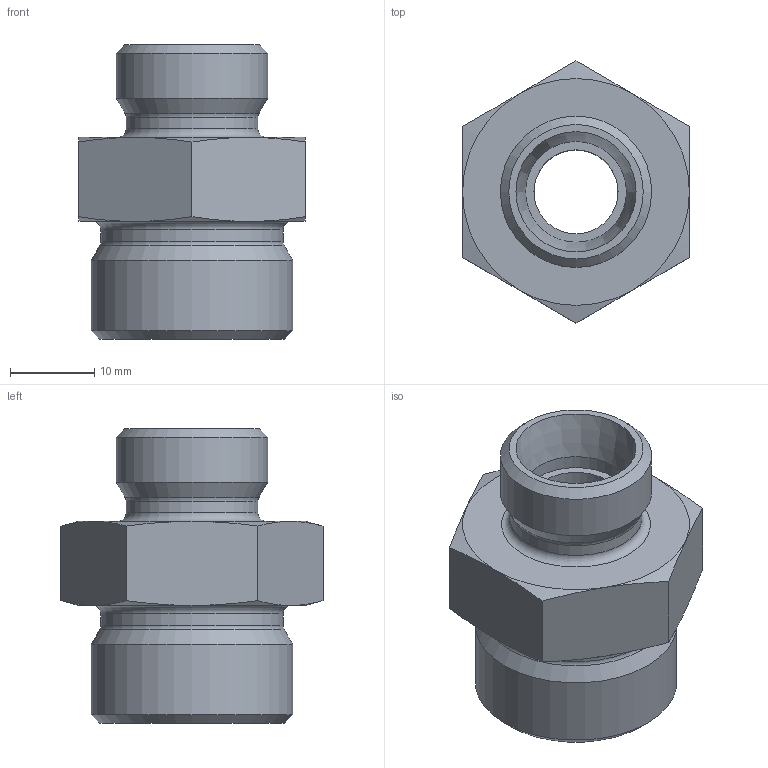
import cadquery as cq
import math

TOTAL_LENGTH = 35.0
HEX_BOTTOM = 14.0
HEX_TOP = 24.0

ACROSS_FLATS = 27.0
HEX_CHAMFER_ANGLE = 15.0

LOWER_DIAMETER = 24.0
UPPER_DIAMETER = 18.0
END_CHAMFER = 1.0

UNDERCUT_DEPTH = 1.15
UNDERCUT_WIDTH = 4.65
UNDERCUT_RUNOUT_ANGLE = 30.0
UNDERCUT_FILLET = 1.0

BORE_DIAMETER = 10.0
TUBE_DIAMETER = 12.0
TUBE_STOP_DEPTH = 7.0
SEAT_MOUTH_DIAMETER = 14.3
SEAT_HALF_ANGLE = 12.0


def tangent(degrees):
    return math.tan(math.radians(degrees))


def threaded_end(diameter, length):
    """Spigot rising from the collar face at z = 0, with its undercut, run-out and end chamfer."""
    radius = diameter / 2
    neck_radius = radius - UNDERCUT_DEPTH
    neck_end = UNDERCUT_WIDTH - UNDERCUT_DEPTH / tangent(UNDERCUT_RUNOUT_ANGLE)

    fillet_setback = UNDERCUT_FILLET * tangent(UNDERCUT_RUNOUT_ANGLE / 2)
    slope = math.radians(UNDERCUT_RUNOUT_ANGLE)
    blend_start = (neck_radius, neck_end - fillet_setback)
    blend_end = (
        neck_radius + fillet_setback * math.sin(slope),
        neck_end + fillet_setback * math.cos(slope),
    )

    profile = (
        cq.Workplane("XZ")
        .lineTo(neck_radius + UNDERCUT_FILLET, 0)
        .radiusArc((neck_radius, UNDERCUT_FILLET), UNDERCUT_FILLET)
        .lineTo(*blend_start)
        .radiusArc(blend_end, UNDERCUT_FILLET)
        .lineTo(radius, UNDERCUT_WIDTH)
        .lineTo(radius, length - END_CHAMFER)
        .lineTo(radius - END_CHAMFER, length)
        .lineTo(0, length)
        .close()
    )
    return profile.revolve(360, (0, 0), (0, 1))


def hex_collar():
    """Hexagon with corners on the Y axis, both faces turned down to the flats' inscribed circle."""
    height = HEX_TOP - HEX_BOTTOM
    flat_radius = ACROSS_FLATS / 2
    corner_radius = flat_radius / math.cos(math.radians(30))
    chamfer_drop = (corner_radius - flat_radius) * tangent(HEX_CHAMFER_ANGLE)

    prism = (
        cq.Workplane("XY")
        .polygon(6, 2 * corner_radius)
        .extrude(height)
        .rotate((0, 0, 0), (0, 0, 1), 30)
    )
    turned_envelope = (
        cq.Workplane("XZ")
        .lineTo(flat_radius, 0)
        .lineTo(corner_radius, chamfer_drop)
        .lineTo(corner_radius, height - chamfer_drop)
        .lineTo(flat_radius, height)
        .lineTo(0, height)
        .close()
        .revolve(360, (0, 0), (0, 1))
    )
    return prism.intersect(turned_envelope).translate((0, 0, HEX_BOTTOM))


def stepped_bore():
    """Through bore, tube counterbore and the tapered seat above it."""
    bore_radius = BORE_DIAMETER / 2
    tube_radius = TUBE_DIAMETER / 2
    mouth_radius = SEAT_MOUTH_DIAMETER / 2
    tube_stop = TOTAL_LENGTH - TUBE_STOP_DEPTH
    seat_bottom = TOTAL_LENGTH - (mouth_radius - tube_radius) / tangent(SEAT_HALF_ANGLE)

    return (
        cq.Workplane("XZ")
        .lineTo(bore_radius, 0)
        .lineTo(bore_radius, tube_stop)
        .lineTo(tube_radius, tube_stop)
        .lineTo(tube_radius, seat_bottom)
        .lineTo(mouth_radius, TOTAL_LENGTH)
        .lineTo(0, TOTAL_LENGTH)
        .close()
        .revolve(360, (0, 0), (0, 1))
    )


upper_end = threaded_end(UPPER_DIAMETER, TOTAL_LENGTH - HEX_TOP).translate((0, 0, HEX_TOP))
lower_end = (
    threaded_end(LOWER_DIAMETER, HEX_BOTTOM)
    .rotate((0, 0, 0), (1, 0, 0), 180)
    .translate((0, 0, HEX_BOTTOM))
)

result = hex_collar().union(upper_end).union(lower_end).cut(stepped_bore())